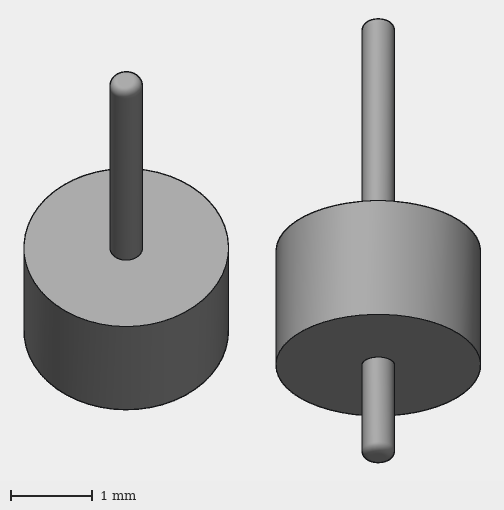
import cadquery as cq

body_diameter = 2.5
body_height = 1.6

pin_diameter = 0.4
pin_length_above = 3.2
pin_length_below = 1.3
pin_tip_radius = 0.1


def make_body():
    """Cylindrical body standing on the XY plane."""
    return cq.Workplane("XY").circle(body_diameter / 2).extrude(body_height)


def make_pin():
    """Pin with both end edges rounded."""
    pin_length = pin_length_below + body_height + pin_length_above
    pin = (
        cq.Workplane("XY")
        .workplane(offset=-pin_length_below)
        .circle(pin_diameter / 2)
        .extrude(pin_length)
    )
    return pin.faces("<Z or >Z").edges().fillet(pin_tip_radius)


result = make_body().union(make_pin())